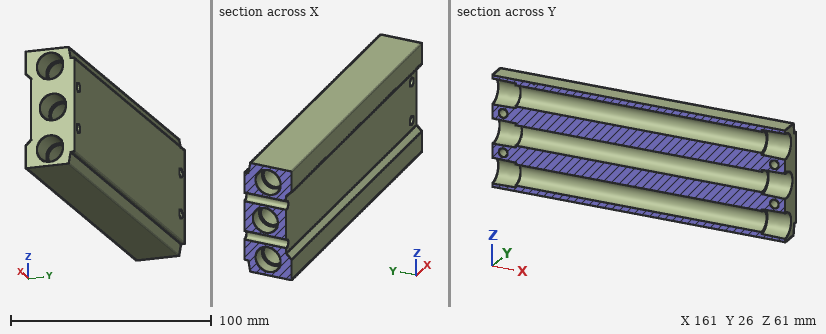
import cadquery as cq
import math

length = 161.0
depth = 26.0
height = 61.0
edge_radius = 0.5

channel_depth = 2.9
channel_mouth_height = 37.7
channel_mouth_half = channel_mouth_height / 2
channel_floor_half = channel_mouth_half - channel_depth

shoulder_height = 6.0
shoulder_slope_deg = 10
shoulder_setback_outer = 3.0
shoulder_lean = shoulder_height * math.tan(math.radians(shoulder_slope_deg))
shoulder_setback_inner = shoulder_setback_outer - shoulder_lean

passage_diameter = 11.3
port_mouth_diameter = 13.8
port_inner_diameter = 13.2
port_depth = 12.9
passage_pitch = 21.5
outer_passage_y = depth / 2
middle_passage_y = 14.5

mount_diameter = 4.5
mount_end_distance = 6.0
mount_pitch_x = length - 2 * mount_end_distance
mount_pitch_z = 21.4


def make_body():
    """Extrude the constant cross-section along x and round its outer edges."""
    half = height / 2
    shoulder_z = half - shoulder_height
    shoulder_top_y = depth - shoulder_setback_outer
    upper_half = [
        (channel_depth, channel_floor_half),
        (0, channel_mouth_half),
        (0, half),
        (shoulder_top_y, half),
        (depth - shoulder_setback_inner, shoulder_z),
        (depth, shoulder_z),
    ]
    lower_half = [(y, -z) for y, z in reversed(upper_half)]
    section = cq.Workplane("YZ").polyline(upper_half + lower_half).close()
    body = section.extrude(length / 2, both=True)
    for y, z in [(0, half), (shoulder_top_y, half), (depth, shoulder_z)]:
        for side_z in (z, -z):
            body = body.edges(cq.NearestToPointSelector((0, y, side_z))).fillet(edge_radius)
    return body


def make_passage(y, z):
    """Through bore along x, widened to a tapered port at each end."""
    bore = cq.Workplane("YZ").center(y, z).circle(passage_diameter / 2).extrude(length / 2, both=True)
    mouth = cq.Vector(-length / 2, y, z)
    inward = cq.Vector(1, 0, 0)
    cone = cq.Solid.makeCone(port_mouth_diameter / 2, port_inner_diameter / 2, port_depth, mouth, inward)
    port = cq.Workplane(cone)
    return bore.union(port).union(port.mirror("YZ"))


def make_mounting_holes():
    """Four through holes along y, near the ends of the channel floor."""
    return (
        cq.Workplane("XZ")
        .rarray(mount_pitch_x, mount_pitch_z, 2, 2)
        .circle(mount_diameter / 2)
        .extrude(-depth)
    )


result = make_body()
for passage_y, passage_z in [
    (outer_passage_y, passage_pitch),
    (middle_passage_y, 0),
    (outer_passage_y, -passage_pitch),
]:
    result = result.cut(make_passage(passage_y, passage_z))
result = result.cut(make_mounting_holes())